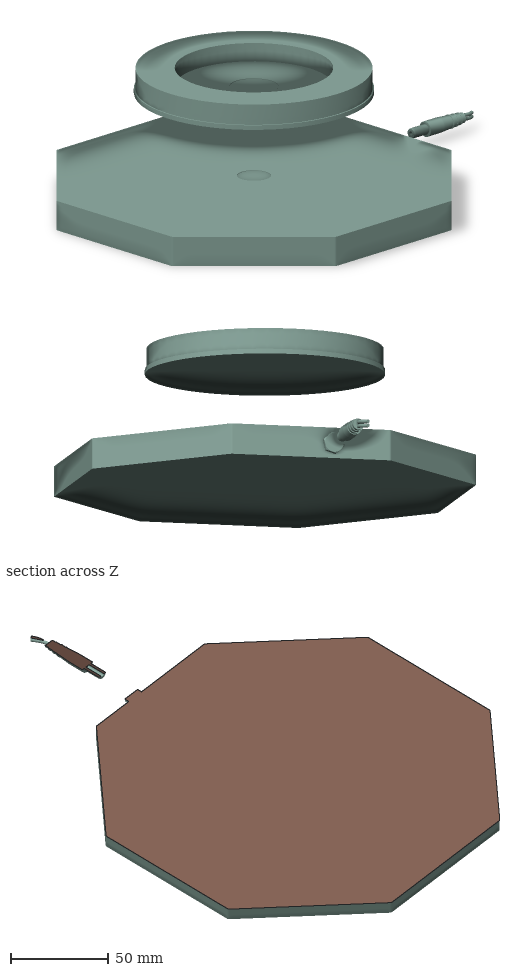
import cadquery as cq
import math

BASE_SIDES = 8
BASE_WIDTH = 203.5
BASE_HEIGHT = 16.0
BASE_CORNER_RADIUS = 1.6
MARK_DEPTH = 0.3
BASE_MARK_RADIUS = 8.8

NUT_SIDES = 6
NUT_X = -11.8
NUT_Z = 7.7
NUT_CORNER_RADIUS = 5.8
NUT_LENGTH = 2.7
NUT_END_CHAMFER = 0.8
NUT_TURN = 18

TOTAL_HEIGHT = 74.3
DISC_HEIGHT = 13.5
DISC_RADIUS = 61.0
FLANGE_RADIUS = 62.0
FLANGE_HEIGHT = 2.5
DISH_RADIUS = 40.8
DISH_DEPTH = 10.0
DISC_MARK_RADIUS = 12.5

TOTAL_LENGTH = 274
PLUG_X = -10.7
PLUG_Z = 7.0
PLUG_TIP_Y = 125.0
BARREL_RADIUS = 2.7
BARREL_LENGTH = 10.5
BARREL_TIP_SETBACK = 0.3
BARREL_TIP_LENGTH = 0.8
BORE_RADIUS = 1.0
GRIP_RADIUS = 4.0
GRIP_LENGTH = 10.0
TAPER_LENGTH = 7.0
TAPER_END_RADIUS = 3.5
RIM_RADII = [3.8, 3.5, 3.3]
RIM_LENGTH = 0.8
NECK_LENGTH = 2.5
NECK_DEPTH = 0.4
WIRE_RADIUS = 0.95
WIRE_SPACING = 2.2
WIRE_SIDE_SHIFT = 2.7
WIRE_DROP = 1.0
WIRE_END_ANGLE = 27


def make_base():
    across_corners = BASE_WIDTH / math.cos(math.pi / BASE_SIDES)
    box = (
        cq.Workplane("XY")
        .transformed(rotate=(0, 0, 180 / BASE_SIDES))
        .polygon(BASE_SIDES, across_corners)
        .extrude(BASE_HEIGHT)
        .edges("|Z")
        .fillet(BASE_CORNER_RADIUS)
    )
    mark = (
        cq.Workplane("XY", origin=(0, 0, BASE_HEIGHT - MARK_DEPTH))
        .circle(BASE_MARK_RADIUS)
        .extrude(MARK_DEPTH)
    )
    return box.cut(mark).union(make_socket_nut())


def make_socket_nut():
    nut_end = BASE_WIDTH / 2 + NUT_LENGTH
    nut_plane = cq.Workplane("XZ", origin=(NUT_X, nut_end, NUT_Z))
    hexagon = (
        nut_plane
        .transformed(rotate=(0, 0, NUT_TURN))
        .polygon(NUT_SIDES, 2 * NUT_CORNER_RADIUS)
        .extrude(NUT_LENGTH)
    )
    envelope = (
        nut_plane
        .circle(NUT_CORNER_RADIUS)
        .extrude(NUT_LENGTH)
        .faces(">Y")
        .chamfer(NUT_END_CHAMFER)
    )
    return hexagon.intersect(envelope)


def make_disc():
    bottom = TOTAL_HEIGHT - DISC_HEIGHT
    floor = TOTAL_HEIGHT - DISH_DEPTH
    plate = cq.Workplane("XY", origin=(0, 0, bottom)).circle(DISC_RADIUS).extrude(DISC_HEIGHT)
    flange = cq.Workplane("XY", origin=(0, 0, bottom)).circle(FLANGE_RADIUS).extrude(FLANGE_HEIGHT)
    dish = cq.Workplane("XY", origin=(0, 0, floor)).circle(DISH_RADIUS).extrude(DISH_DEPTH)
    mark = (
        cq.Workplane("XY", origin=(0, 0, floor - MARK_DEPTH))
        .circle(DISC_MARK_RADIUS)
        .extrude(MARK_DEPTH)
    )
    return plate.union(flange).cut(dish).cut(mark)


def make_plug_body():
    grip_start = BARREL_LENGTH
    taper_start = grip_start + GRIP_LENGTH
    position = taper_start + TAPER_LENGTH
    profile = [
        (0, BARREL_LENGTH),
        (BORE_RADIUS, BARREL_LENGTH),
        (BORE_RADIUS, 0),
        (BARREL_RADIUS - BARREL_TIP_SETBACK, 0),
        (BARREL_RADIUS, BARREL_TIP_LENGTH),
        (BARREL_RADIUS, grip_start),
        (GRIP_RADIUS, grip_start),
        (GRIP_RADIUS, taper_start),
        (TAPER_END_RADIUS, position),
    ]
    for rim_radius in RIM_RADII:
        neck_radius = rim_radius - NECK_DEPTH
        neck_start = position + RIM_LENGTH
        neck_end = neck_start + NECK_LENGTH
        profile += [
            (rim_radius, position),
            (rim_radius, neck_start),
            (neck_radius, neck_start),
            (neck_radius, neck_end),
        ]
        position = neck_end
    profile.append((0, position))
    body = (
        cq.Workplane("XY")
        .polyline(profile)
        .close()
        .revolve(360, (0, 0, 0), (0, 1, 0))
        .translate((PLUG_X, PLUG_TIP_Y, PLUG_Z))
    )
    return body, PLUG_TIP_Y + position


def make_wire(root_y, root_z):
    start = cq.Vector(PLUG_X, root_y - NECK_LENGTH / 2, root_z)
    end_angle = math.radians(WIRE_END_ANGLE)
    end_direction = cq.Vector(-math.sin(end_angle), math.cos(end_angle), 0)
    end_y = TOTAL_LENGTH - BASE_WIDTH / 2 - WIRE_RADIUS * math.sin(end_angle)
    end = cq.Vector(PLUG_X - WIRE_SIDE_SHIFT, end_y, root_z - WIRE_DROP)
    path = cq.Edge.makeSpline(
        [start, end],
        tangents=[cq.Vector(0, 1, 0), end_direction],
    )
    return (
        cq.Workplane("XZ", origin=start.toTuple())
        .circle(WIRE_RADIUS)
        .sweep(cq.Workplane(cq.Wire.assembleEdges([path])))
    )


def make_plug():
    plug, root_y = make_plug_body()
    for side in (-1, 1):
        plug = plug.union(make_wire(root_y, PLUG_Z + side * WIRE_SPACING / 2))
    return plug


base = make_base()
disc = make_disc()
plug = make_plug()

result = cq.Compound.makeCompound([base.val(), disc.val(), plug.val()])